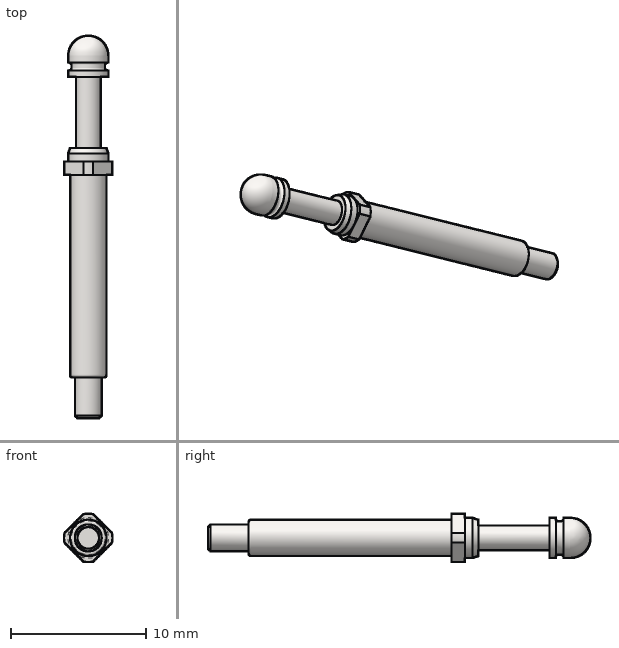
import cadquery as cq
import math


tail_diameter = 2.0
tail_length = 3.0
tail_chamfer = 0.2
barrel_diameter = 2.7
barrel_length = 15.0
barrel_edge_radius = 0.2

flange_thickness = 1.0
flange_across_flats = 3.0
flange_corner_diameter = 3.6

collar_diameter = 3.0
collar_length = 1.0
collar_rim_length = 0.43
collar_front_diameter = 2.7

rod_diameter = 1.85
rod_length = 5.25

head_diameter = 3.0
head_length = 3.05
groove_width = 0.56
groove_depth = 0.25
groove_root_radius = 0.16
groove_rear_land = 0.48

barrel_rear = -barrel_length
tail_end = barrel_rear - tail_length
collar_front = flange_thickness + collar_length
head_rear = collar_front + rod_length
head_tip = head_rear + head_length


def turned(profile):
    """Revolve a closed (radius, Y) profile about the Y axis."""
    return profile.close().revolve(360, (0, 0, 0), (0, 1, 0))


def make_barrel_and_tail():
    tail_radius = tail_diameter / 2
    barrel_radius = barrel_diameter / 2
    profile = (
        cq.Workplane("XY")
        .moveTo(0, tail_end)
        .lineTo(tail_radius - tail_chamfer, tail_end)
        .lineTo(tail_radius, tail_end + tail_chamfer)
        .lineTo(tail_radius, barrel_rear)
        .lineTo(barrel_radius - barrel_edge_radius, barrel_rear)
        .radiusArc((barrel_radius, barrel_rear + barrel_edge_radius), -barrel_edge_radius)
        .lineTo(barrel_radius, flange_thickness)
        .lineTo(0, flange_thickness)
    )
    return turned(profile)


def make_flange():
    square = (
        cq.Workplane("XZ")
        .rect(flange_across_flats, flange_across_flats)
        .extrude(-flange_thickness)
        .rotate((0, 0, 0), (0, 1, 0), 45)
    )
    corner_circle = cq.Workplane("XZ").circle(flange_corner_diameter / 2).extrude(-flange_thickness)
    return square.intersect(corner_circle)


def make_collar():
    collar_radius = collar_diameter / 2
    front_radius = collar_front_diameter / 2
    rim_start = collar_front - collar_rim_length
    profile = (
        cq.Workplane("XY")
        .lineTo(collar_radius, 0)
        .lineTo(collar_radius, rim_start)
        .lineTo(front_radius, collar_front)
        .lineTo(0, collar_front)
    )
    return turned(profile)


def make_rod():
    return cq.Workplane("XZ").circle(rod_diameter / 2).extrude(-head_rear)


def make_head():
    head_radius = head_diameter / 2
    dome_start = head_tip - head_radius
    diagonal = head_radius * math.sqrt(0.5)
    groove_rear = head_rear + groove_rear_land
    groove_front = groove_rear + groove_width
    root_radius = head_radius - groove_depth
    shoulder_radius = root_radius + groove_root_radius
    profile = (
        cq.Workplane("XY")
        .moveTo(0, head_rear)
        .lineTo(head_radius, head_rear)
        .lineTo(head_radius, groove_rear)
        .lineTo(shoulder_radius, groove_rear)
        .radiusArc((root_radius, groove_rear + groove_root_radius), groove_root_radius)
        .lineTo(root_radius, groove_front - groove_root_radius)
        .radiusArc((shoulder_radius, groove_front), groove_root_radius)
        .lineTo(head_radius, groove_front)
        .lineTo(head_radius, dome_start)
        .threePointArc((diagonal, dome_start + diagonal), (0, head_tip))
    )
    return turned(profile)


result = make_barrel_and_tail()
for section in (make_flange(), make_collar(), make_rod(), make_head()):
    result = result.union(section)